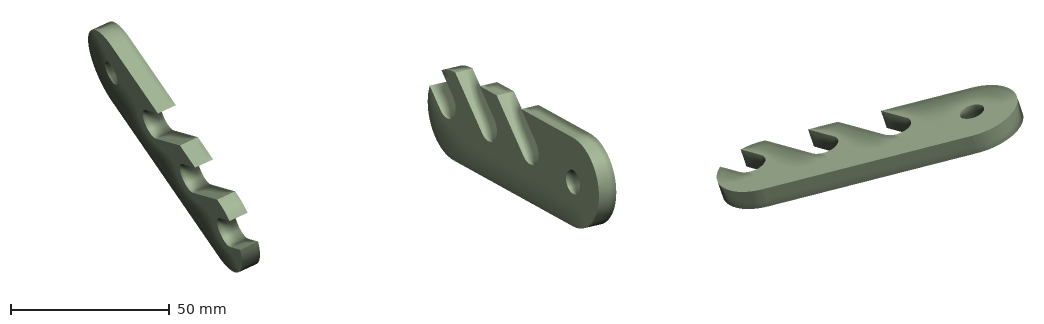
import cadquery as cq

length = 99.0
height = 30.0
thickness = 6.5
end_radius = height / 2

hole_diameter = 8.0

slot_count = 3
slot_width = 10.0
slot_angle = 45.0
slot_pitch = 24.0
slot_rise = 3.0
first_slot_from_left = 40.0
slot_reach = height

left_end_center_x = end_radius - length / 2


def make_plate():
    return cq.Workplane("XZ").slot2D(length, height).extrude(thickness / 2, both=True)


def make_pivot_hole():
    return (
        cq.Workplane("XZ")
        .center(left_end_center_x, 0)
        .circle(hole_diameter / 2)
        .extrude(thickness, both=True)
    )


def make_hook_slot(bottom_x):
    """Cutter whose lower round end is centred at bottom_x."""
    return (
        cq.Workplane("XZ")
        .center(bottom_x, slot_rise)
        .transformed(rotate=(0, 0, slot_angle))
        .center(slot_reach / 2, 0)
        .slot2D(slot_reach + slot_width, slot_width)
        .extrude(thickness, both=True)
    )


result = make_plate().cut(make_pivot_hole())
for index in range(slot_count):
    slot_x = first_slot_from_left - length / 2 + index * slot_pitch
    result = result.cut(make_hook_slot(slot_x))